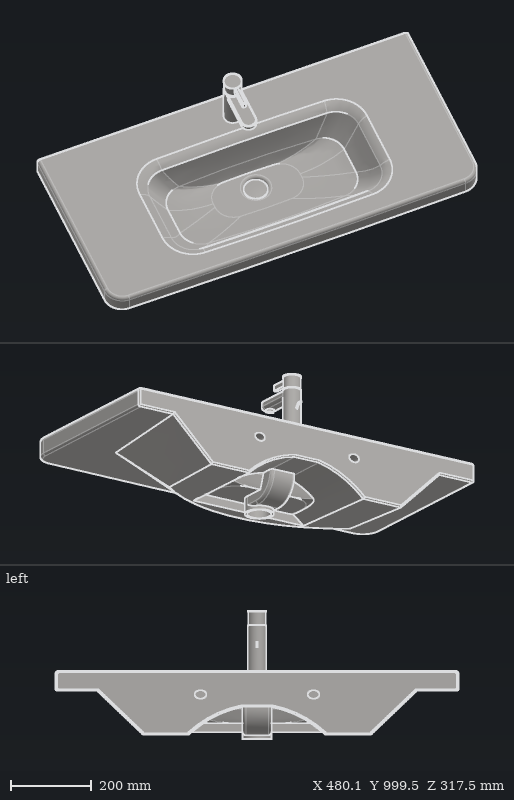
import cadquery as cq
import math


ARC_MIDDLE = 1 - math.sqrt(0.5)

deck_half_width = 499.75
deck_side_depth = 476.5
deck_depth = 480.06
deck_thickness = 50.0
deck_corner_radius = 48.0
deck_top_round = 8.5
deck_bottom_round = 6.0

skirt_top_half_width = 396.0
skirt_bottom_half_width = 282.0
skirt_bottom_z = -159.0
skirt_front_bottom_z = -152.0
skirt_top_crease = (315.0, 360.0)
skirt_bottom_crease = (207.0, 265.0)
skirt_top_front = 414.0
skirt_bottom_front = 300.0
back_bevel = 4.5

arch_foot_half_width = 170.0
arch_crown_half_width = 36.0
arch_crown_z = -90.0
arch_shoulder = (104.0, -113.0)
arch_depth = 262.0

wall_hole_offset = 140.0
wall_hole_z = -59.0
wall_hole_width = 29.0
wall_hole_height = 21.0
wall_hole_depth = 40.0

rim_section = (0.0, 118.0, 422.0, 306.0, 82.0, 5.0)
rim_curve_section = (-5.5, 130.0, 410.0, 293.5, 71.0, 4.5)
lip_section = (-17.0, 143.0, 397.0, 281.0, 60.0, 4.0)
wall_section = (-50.0, 151.0, 375.0, 261.0, 58.0, 6.0)
floor_section = (-83.0, 163.0, 343.0, 237.0, 56.0, 9.0)
floor_curve_section = (-106.0, 168.0, 311.0, 182.0, 54.0, 6.0)
well_section = (-118.0, 171.0, 277.0, 117.0, 50.0, 4.0)
bowl_stretches = [
    [rim_section, rim_curve_section, lip_section],
    [lip_section, wall_section, floor_section],
    [floor_section, floor_curve_section, well_section],
]
bowl_wall = 12.0

drain_x = 214.0
drain_diameter = 60.0
drain_round = 9.0
drain_bottom_z = -169.46
boss_diameter = 2 * arch_crown_half_width
channel_back = 105.0
channel_bottom_z = -160.0
channel_edge_round = 8.0
plug_thickness = 8.0
plug_dome_height = 4.0

tap_x = 68.0
tap_diameter = 46.0
cap_neck_diameter = 42.0
cap_neck_height = 2.0
cap_diameter = 44.0
cap_disc_thickness = 2.5
tap_height = 112.0
cap_top_z = 148.0

spout_tip_x = 187.5
spout_width = 40.0
spout_top_z = 110.5
spout_side_z = 98.0
spout_bottom_z = 90.0
spout_top_chamfer = 2.0
spout_root_round = 5.0

aerator_x = 167.0
aerator_diameter = 20.15
aerator_bottom_z = 84.5
aerator_height = 10.0
aerator_tilt = 9.0

lever_tip_x = 143.0
lever_width = 10.0
lever_height = 16.0
lever_chamfer = 2.0
lever_foot_length = 9.0
lever_foot_height = 3.0

rod_diameter = 4.0
rod_end_x = 27.0
rod_z = 70.0
rod_bend_x = 38.0
rod_entry_x = 50.0
rod_entry_z = 55.0


def bowed_section(section, offset=0.0):
    """Rounded rectangle with slightly bowed sides; a positive offset makes it larger all round."""
    level, back, front, half_width, corner, bow = section
    back -= offset
    front += offset
    half_width += offset
    corner += offset
    outline = (
        cq.Sketch()
        .arc((back, -half_width), (back - bow, 0), (back, half_width))
        .segment((back, half_width), (front, half_width))
        .arc((front, half_width), (front + bow, 0), (front, -half_width))
        .segment((front, -half_width), (back, -half_width))
        .assemble()
        .vertices()
        .fillet(corner)
    )
    wire = outline.reset().faces().val().outerWire()
    return wire.translate(cq.Vector(0, 0, level - offset))


def loft(sections, offset=0.0):
    return cq.Workplane(cq.Solid.makeLoft([bowed_section(s, offset) for s in sections]))


def make_bowl_wall():
    """Solid mass around the bowl below its lip."""
    _, sides, floor = bowl_stretches
    return loft(sides, bowl_wall).union(loft(floor, bowl_wall))


def make_deck():
    """Deck with rounded rim, starting in front of the bevelled back plate."""
    deck = (
        cq.Workplane("XY")
        .moveTo(back_bevel, -deck_half_width)
        .lineTo(deck_side_depth, -deck_half_width)
        .threePointArc((deck_depth, 0), (deck_side_depth, deck_half_width))
        .lineTo(back_bevel, deck_half_width)
        .close()
        .extrude(-deck_thickness)
    )
    deck = deck.edges("|Z").edges(">X").fillet(deck_corner_radius)
    deck = deck.faces(">Z").edges("not <X").fillet(deck_top_round)
    return deck.faces("<Z").edges("not <X").fillet(deck_bottom_round)


def make_back_plate():
    """Wall side of the basin: its whole outline, bevelled towards the wall."""
    top_y = deck_half_width - deck_top_round
    bottom_y = deck_half_width - deck_bottom_round
    top_inset = deck_top_round * ARC_MIDDLE
    bottom_inset = deck_bottom_round * ARC_MIDDLE
    top_mid = (deck_half_width - top_inset, -top_inset)
    bottom_mid = (deck_half_width - bottom_inset, bottom_inset - deck_thickness)
    outline = (
        cq.Workplane("YZ", origin=(back_bevel, 0, 0))
        .lineTo(top_y, 0)
        .threePointArc(top_mid, (deck_half_width, -deck_top_round))
        .lineTo(deck_half_width, deck_bottom_round - deck_thickness)
        .threePointArc(bottom_mid, (bottom_y, -deck_thickness))
        .lineTo(skirt_top_half_width, -deck_thickness)
        .lineTo(skirt_bottom_half_width, skirt_bottom_z)
        .lineTo(arch_foot_half_width, skirt_bottom_z)
        .threePointArc(arch_shoulder, (arch_crown_half_width, arch_crown_z))
        .lineTo(0, arch_crown_z)
        .mirrorY()
        .val()
    )
    wall_outline = outline.offset2D(-back_bevel, "intersection")[0].translate(cq.Vector(-back_bevel, 0, 0))
    return cq.Workplane(cq.Solid.makeLoft([wall_outline, outline], True))


def skirt_outline(plane, half_width, crease, front):
    crease_x, crease_y = crease
    return (
        plane.moveTo(back_bevel, -half_width)
        .lineTo(crease_x, -crease_y)
        .threePointArc((front, 0), (crease_x, crease_y))
        .lineTo(back_bevel, half_width)
        .close()
    )


def make_skirt():
    """Tapered body under the deck, its bottom rising slightly to the front."""
    top = cq.Workplane("XY", origin=(0, 0, -deck_thickness))
    skirt = skirt_outline(top, skirt_top_half_width, skirt_top_crease, skirt_top_front)
    skirt = skirt.workplane(offset=skirt_bottom_z + deck_thickness)
    skirt = skirt_outline(skirt, skirt_bottom_half_width, skirt_bottom_crease, skirt_bottom_front)
    skirt = skirt.loft(ruled=True)
    wedge = (
        cq.Workplane("XZ")
        .polyline([(back_bevel, skirt_bottom_z), (skirt_bottom_front, skirt_bottom_z),
                   (skirt_top_front, skirt_bottom_z), (skirt_top_front, skirt_front_bottom_z),
                   (skirt_bottom_front, skirt_front_bottom_z)])
        .close()
        .extrude(deck_half_width, both=True)
    )
    return skirt.cut(wedge)


def make_arch():
    """Vaulted recess under the bowl, open to the wall."""
    shoulder_y, shoulder_z = arch_shoulder
    return (
        cq.Workplane("YZ")
        .moveTo(-arch_foot_half_width, skirt_bottom_z)
        .threePointArc((-shoulder_y, shoulder_z), (-arch_crown_half_width, arch_crown_z))
        .lineTo(arch_crown_half_width, arch_crown_z)
        .threePointArc((shoulder_y, shoulder_z), (arch_foot_half_width, skirt_bottom_z))
        .close()
        .extrude(arch_depth)
    )


def make_drain_boss():
    """Round outlet with a curved channel running up behind it."""
    boss = (
        cq.Workplane("XY", origin=(drain_x, 0, drain_bottom_z))
        .circle(boss_diameter / 2)
        .extrude(well_section[0] - drain_bottom_z)
    )
    radius = arch_crown_z - channel_bottom_z
    bend = radius * ARC_MIDDLE
    bend_mid = (channel_back + bend, channel_bottom_z + bend)
    channel = (
        cq.Workplane("XZ")
        .moveTo(channel_back, arch_crown_z)
        .threePointArc(bend_mid, (channel_back + radius, channel_bottom_z))
        .lineTo(drain_x, channel_bottom_z)
        .lineTo(drain_x, arch_crown_z)
        .close()
        .extrude(arch_crown_half_width, both=True)
        .edges("%CIRCLE")
        .fillet(channel_edge_round)
    )
    return boss.union(channel)


def make_wall_holes():
    return (
        cq.Workplane("YZ")
        .pushPoints([(-wall_hole_offset, wall_hole_z), (wall_hole_offset, wall_hole_z)])
        .ellipse(wall_hole_width / 2, wall_hole_height / 2)
        .extrude(wall_hole_depth)
    )


def make_drain_bore():
    """Through bore with a rounded rim at the bottom of the bowl."""
    well_z = well_section[0]
    radius = drain_diameter / 2
    return (
        cq.Workplane("XZ", origin=(drain_x, 0, 0))
        .moveTo(0, well_z)
        .lineTo(radius + drain_round, well_z)
        .radiusArc((radius, well_z - drain_round), -drain_round)
        .lineTo(radius, drain_bottom_z)
        .lineTo(0, drain_bottom_z)
        .close()
        .revolve(360, (0, 0), (0, 1))
    )


def make_basin():
    body = make_deck().union(make_skirt())
    shell = make_bowl_wall().intersect(body)
    body = body.cut(make_arch()).union(make_back_plate())
    body = body.cut(make_wall_holes())
    body = body.union(shell).union(make_drain_boss())
    for stretch in bowl_stretches:
        body = body.cut(loft(stretch))
    return body.cut(make_drain_bore())


def make_plug():
    """Domed stopper filling the drain just below its rounded rim."""
    edge_z = well_section[0] - drain_round
    radius = drain_diameter / 2
    dome_radius = (radius**2 + plug_dome_height**2) / (2 * plug_dome_height)
    return (
        cq.Workplane("XZ", origin=(drain_x, 0, edge_z))
        .moveTo(0, -plug_thickness)
        .lineTo(radius, -plug_thickness)
        .lineTo(radius, 0)
        .radiusArc((0, plug_dome_height), -dome_radius)
        .close()
        .revolve(360, (0, 0), (0, 1))
    )


def make_aerator():
    """Disc let into the spout, tilted so that the stream leans forward."""
    return (
        cq.Workplane("XY")
        .circle(aerator_diameter / 2)
        .extrude(aerator_height)
        .rotate((0, 0, 0), (0, 1, 0), -aerator_tilt)
        .translate((aerator_x, 0, aerator_bottom_z))
    )


def make_rod():
    """Bent lift rod entering the back of the tap column."""
    path = (
        cq.Workplane("XZ")
        .moveTo(rod_end_x, rod_z)
        .lineTo(rod_bend_x, rod_z)
        .lineTo(rod_entry_x, rod_entry_z)
    )
    return (
        cq.Workplane("YZ", origin=(rod_end_x, 0, rod_z))
        .circle(rod_diameter / 2)
        .sweep(path, transition="round")
    )


def make_tap_body(aerator, rod):
    """Column with its spout, bored to take the aerator and the lift rod."""
    column = cq.Workplane("XY", origin=(tap_x, 0, 0)).circle(tap_diameter / 2).extrude(tap_height)
    half_width = spout_width / 2
    spout = (
        cq.Workplane("XY", origin=(0, 0, spout_bottom_z))
        .moveTo(tap_x, -half_width)
        .lineTo(spout_tip_x - half_width, -half_width)
        .threePointArc((spout_tip_x, 0), (spout_tip_x - half_width, half_width))
        .lineTo(tap_x, half_width)
        .close()
        .extrude(spout_top_z - spout_bottom_z)
    )
    spout = spout.faces("<Z").edges("not <X").fillet(spout_side_z - spout_bottom_z)
    spout = spout.faces(">Z").edges("not <X").chamfer(spout_top_chamfer)
    margin = spout_top_chamfer / 2
    root_seam = cq.selectors.BoxSelector(
        (tap_x, -half_width - margin, spout_bottom_z - margin),
        (tap_x + tap_diameter / 2 + margin, half_width + margin, spout_top_z - spout_top_chamfer - margin),
    )
    body = column.union(spout)
    body = body.edges(root_seam).fillet(spout_root_round)
    return body.cut(aerator).cut(rod)


def make_cap():
    """Head over a recessed neck, closed by a thin top disc of the column's diameter."""

    def cylinder(diameter, bottom_z, top_z):
        return cq.Workplane("XY", origin=(tap_x, 0, bottom_z)).circle(diameter / 2).extrude(top_z - bottom_z)

    head_z = tap_height + cap_neck_height
    disc_z = cap_top_z - cap_disc_thickness
    neck = cylinder(cap_neck_diameter, tap_height, head_z)
    head = cylinder(cap_diameter, head_z, disc_z)
    return neck.union(head).union(cylinder(tap_diameter, disc_z, cap_top_z))


def make_lever(cap):
    """Flat bar starting at the cap, with a short foot under its root."""
    bar_bottom_z = cap_top_z - lever_height
    bar_length = lever_tip_x - tap_x
    foot_length = tap_diameter / 2 + lever_foot_length
    bar = (
        cq.Workplane("XY", origin=(tap_x, 0, bar_bottom_z))
        .rect(bar_length, lever_width, centered=(False, True))
        .extrude(lever_height)
        .edges("(>Z and |X) or (>X and |Z) or (>X and >Z)")
        .chamfer(lever_chamfer)
    )
    foot = (
        cq.Workplane("XY", origin=(tap_x, 0, bar_bottom_z))
        .rect(foot_length, lever_width, centered=(False, True))
        .extrude(-lever_foot_height)
    )
    return bar.union(foot).cut(cap)


basin = make_basin()
plug = make_plug()
aerator = make_aerator()
lift_rod = make_rod()
tap_body = make_tap_body(aerator, lift_rod)
cap = make_cap()
lever = make_lever(cap)

result = cq.Compound.makeCompound([
    basin.val(), plug.val(), aerator.val(), lift_rod.val(), tap_body.val(), cap.val(), lever.val(),
])